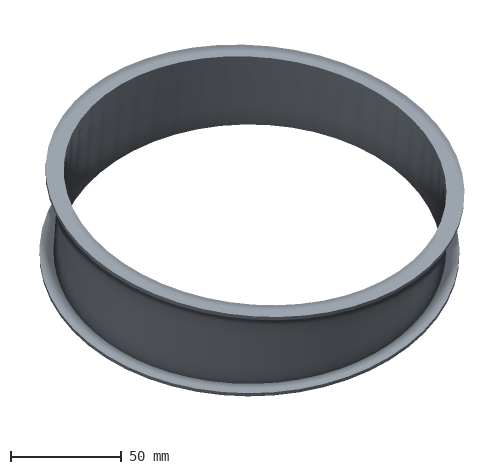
import cadquery as cq
import math

flange_diameter = 190.0
wall_outer_diameter = 177.5
wall_thickness = 2.0
flange_thickness = 2.0
tilt_angle = 5.0
length_y = 192.5
height = 52.2

flange_radius = flange_diameter / 2
tilt = math.radians(tilt_angle)
top_center_y = length_y - flange_radius - flange_radius * math.cos(tilt)
top_center_z = height - flange_radius * math.sin(tilt)

base_plane = cq.Plane.XY()
top_plane = cq.Plane(
    origin=(0, top_center_y, top_center_z),
    xDir=(1, 0, 0),
    normal=(0, math.sin(tilt), math.cos(tilt)),
)


def skewed_cylinder(diameter):
    """Solid with straight sides joining the base circle to the tilted top circle."""
    radius = diameter / 2
    base_circle = cq.Wire.makeCircle(radius, base_plane.origin, base_plane.zDir)
    top_circle = cq.Wire.makeCircle(radius, top_plane.origin, top_plane.zDir)
    return cq.Workplane(cq.Solid.makeLoft([base_circle, top_circle], True))


def flange(plane, thickness):
    """Round flange disc starting at the plane; a negative thickness goes below it."""
    return cq.Workplane(plane).circle(flange_radius).extrude(thickness)


lower_flange = flange(base_plane, flange_thickness)
upper_flange = flange(top_plane, -flange_thickness)
wall = skewed_cylinder(wall_outer_diameter)
bore = skewed_cylinder(wall_outer_diameter - 2 * wall_thickness)

result = wall.union(lower_flange).union(upper_flange).cut(bore)